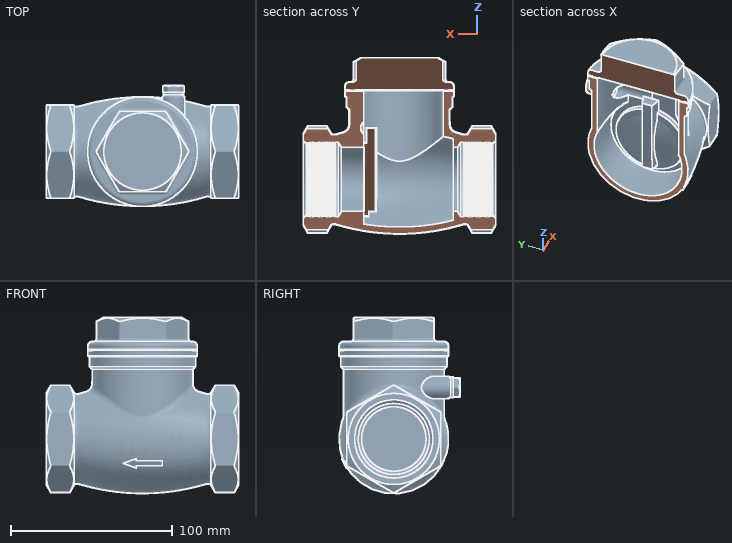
import cadquery as cq
import math


half_length = 59.75
end_hex_flats = 58.0
end_hex_length = 17.6
end_hex_edge_radius = 1.0
end_face_diameter = 56.5
hex_chamfer_angle = 30.0

barrel_diameter = 68.0
barrel_end_diameter = 56.0
barrel_half_length = 39.8
wall = 4.5

thread_entry_diameter = 48.5
thread_root_diameter = 46.5
thread_crest_diameter = 44.0
thread_pitch = 1.75
thread_count = 11
relief_length = 1.5
port_cone_length = 1.9
port_diameter = 40.0
outlet_port_length = 2.8
seat_x = 22.0

top_z = 75.45
cap_hex_flats = 50.0
cap_hex_height = 15.0
cap_hex_edge_radius = 2.0
cap_hex_root_radius = 2.0
cap_face_diameter = 48.0
flange_diameter = 68.0
cap_flange_thickness = 5.0
cap_flange_radius = 3.0
gasket_diameter = 62.0
gasket_thickness = 0.5
body_flange_thickness = 4.0
flange_chamfer = 0.6
collar_diameter = 66.0
collar_length = 7.8
collar_chamfer = 1.7
neck_diameter = collar_diameter - 2 * collar_chamfer
neck_bore_diameter = 54.5
neck_root_radius = 5.0

hinge_x = 19.2
hinge_z = 31.9
plug_end_y = 41.06
plug_hex_flats = 12.0
plug_hex_length = 4.3
plug_hex_edge_radius = 1.0
plug_face_diameter = 11.5
plug_shank_diameter = 9.5
plug_shank_inner_y = 24.0
washer_diameter = 13.0
washer_thickness = 1.5
boss_diameter = 14.0
boss_edge_radius = 2.0

flap_diameter = 46.0
flap_thickness = 3.0
dome_diameter = 36.5
dome_height = 3.0
rib_face_width = 6.5
rib_base_width = 10.5
rib_height = 5.0
rib_step = 0.5
rib_step_top_z = -11.0
rib_step_bottom_z = -12.8
rib_bottom_z = -20.0

arrow_z = -15.1
arrow_tip_x = -12.0
arrow_head_length = 8.1
arrow_length = 24.1
arrow_head_half_width = 2.9
arrow_shaft_half_width = 1.5
arrow_height = 0.5

cap_flange_top_z = top_z - cap_hex_height
cap_bottom_z = cap_flange_top_z - cap_flange_thickness
body_top_z = cap_bottom_z - gasket_thickness
collar_top_z = body_top_z - body_flange_thickness
collar_bottom_z = collar_top_z - collar_length
end_hex_inner_x = half_length - end_hex_length
plug_seat_y = plug_end_y - plug_hex_length
boss_end_y = plug_seat_y - washer_thickness


def cross_plane(x):
    """Plane across the pipe axis, with its own normal along +X and its local X axis along +Z."""
    return cq.Plane(origin=(x, 0, 0), xDir=(0, 0, 1), normal=(1, 0, 0))


def level_plane(z):
    return cq.Plane(origin=(0, 0, z), xDir=(1, 0, 0), normal=(0, 0, 1))


def hinge_plane(y):
    """Plane across the hinge axis, with its own normal along +Y and its local X axis along +X."""
    return cq.Plane(origin=(hinge_x, y, hinge_z), xDir=(1, 0, 0), normal=(0, 1, 0))


def disc(plane, diameter, length):
    return cq.Workplane(plane).circle(diameter / 2).extrude(length)


def ring(plane, outer_diameter, inner_diameter, length):
    return cq.Workplane(plane).circle(outer_diameter / 2).circle(inner_diameter / 2).extrude(length)


def hexagon(plane, flats, length, edge_radius):
    """Hexagonal bar with rounded edges and two corners on the plane's local X axis."""
    corners = flats / math.cos(math.radians(30))
    bar = cq.Workplane(plane).polygon(6, corners).extrude(length)
    return bar.edges(cq.selectors.ParallelDirSelector(plane.zDir)).fillet(edge_radius)


def chamfer_hexagon(bar, plane, length, flats, face_diameter):
    """Cut the corners at the far end of a hexagonal bar back to a round end face."""
    face_radius = face_diameter / 2
    outer_radius = flats
    drop = (outer_radius - face_radius) * math.tan(math.radians(hex_chamfer_angle))
    cutter = (
        cq.Workplane(cq.Plane(origin=plane.origin, xDir=plane.xDir, normal=-plane.yDir))
        .polyline([(face_radius, length), (outer_radius, length), (outer_radius, length - drop)])
        .close()
        .revolve(360, (0, 0), (0, 1))
    )
    return bar.cut(cutter)


def revolved_about_x(outline):
    """Solid from (x, radius) points turned about the pipe axis."""
    return cq.Workplane("XY").polyline(outline).close().revolve(360, (0, 0, 0), (1, 0, 0))


def barrel(growth):
    """Barrel about the pipe axis, with all its radii enlarged by `growth`."""
    end_radius = barrel_end_diameter / 2 + growth
    rim_radius = end_face_diameter / 2 + growth
    middle_radius = barrel_diameter / 2 + growth
    hollow_x = (barrel_half_length + end_hex_inner_x) / 2
    return (
        cq.Workplane("XY")
        .moveTo(-end_hex_inner_x, 0)
        .lineTo(-end_hex_inner_x, rim_radius)
        .threePointArc((-hollow_x, end_radius), (-barrel_half_length, end_radius))
        .threePointArc((0, middle_radius), (barrel_half_length, end_radius))
        .threePointArc((hollow_x, end_radius), (end_hex_inner_x, rim_radius))
        .lineTo(end_hex_inner_x, 0)
        .close()
        .revolve(360, (0, 0, 0), (1, 0, 0))
    )


def end_hexagon():
    """Hexagon at the -X end, chamfered at both of its ends."""
    inner = cross_plane(-end_hex_inner_x)
    outer = cross_plane(-half_length)
    towards_end = cq.Plane(origin=inner.origin, xDir=inner.xDir, normal=-inner.zDir)
    bar = hexagon(outer, end_hex_flats, end_hex_length, end_hex_edge_radius)
    for plane in (outer, towards_end):
        bar = chamfer_hexagon(bar, plane, end_hex_length, end_hex_flats, end_face_diameter)
    return bar


def flow_arrow():
    """Raised arrow pointing to the -X outlet, following the front of the barrel."""
    head_end_x = arrow_tip_x + arrow_head_length
    tail_x = arrow_tip_x + arrow_length
    outline = [
        (arrow_tip_x, arrow_z),
        (head_end_x, arrow_z + arrow_head_half_width),
        (head_end_x, arrow_z + arrow_shaft_half_width),
        (tail_x, arrow_z + arrow_shaft_half_width),
        (tail_x, arrow_z - arrow_shaft_half_width),
        (head_end_x, arrow_z - arrow_shaft_half_width),
        (head_end_x, arrow_z - arrow_head_half_width),
    ]
    prism = cq.Workplane("XZ").polyline(outline).close().extrude(barrel_diameter)
    return prism.intersect(barrel(arrow_height)).cut(barrel(-wall / 2))


def body_outside():
    neck = disc(level_plane(0), neck_diameter, body_top_z)
    shell = barrel(0).union(neck)
    root = cq.selectors.BoxSelector(
        (-neck_diameter, -neck_diameter, 1), (neck_diameter, neck_diameter, barrel_diameter / 2 + 1)
    )
    shell = shell.edges(root).edges("not %CIRCLE").edges("not %LINE").fillet(neck_root_radius)
    collar = disc(level_plane(collar_bottom_z), collar_diameter, collar_length)
    collar = collar.faces("<Z").chamfer(collar_chamfer)
    flange = disc(level_plane(collar_top_z), flange_diameter, body_flange_thickness)
    flange = flange.faces("<Z").chamfer(flange_chamfer)
    boss = disc(hinge_plane(0), boss_diameter, boss_end_y).faces(">Y").fillet(boss_edge_radius)
    hexes = end_hexagon()
    hexes = hexes.union(hexes.mirror("YZ"))
    return shell.union(collar).union(flange).union(boss).union(hexes).union(flow_arrow())


def port():
    """Threaded entry, relief and tapered step of the -X end, from the face to the port bore."""
    crest = thread_crest_diameter / 2
    root = thread_root_diameter / 2
    entry = thread_entry_diameter / 2
    port_radius = port_diameter / 2
    thread_start_x = -half_length + entry - root
    outline = [(-half_length, 0), (-half_length, entry), (thread_start_x, root)]
    for turn in range(thread_count):
        groove_x = thread_start_x + turn * thread_pitch
        outline.append((groove_x + thread_pitch / 2, crest))
        outline.append((groove_x + thread_pitch, root))
    relief_end_x = thread_start_x + thread_count * thread_pitch + relief_length
    cone_end_x = relief_end_x + port_cone_length
    port_end_x = cone_end_x + outlet_port_length
    outline += [
        (relief_end_x, root),
        (cone_end_x, port_radius),
        (port_end_x, port_radius),
        (port_end_x, 0),
    ]
    return revolved_about_x(outline), port_end_x


def body_inside():
    outlet, chamber_start_x = port()
    inlet = outlet.mirror("YZ")
    chamber_span = seat_x - chamber_start_x
    chamber = barrel(-wall).intersect(disc(cross_plane(chamber_start_x), barrel_diameter, chamber_span))
    seat_bore = disc(cross_plane(seat_x), port_diameter, end_hex_inner_x - seat_x)
    neck_bore = disc(level_plane(0), neck_bore_diameter, top_z)
    neck_bore = neck_bore.intersect(
        cq.Workplane("XY").box(chamber_span, top_z, 2 * top_z).translate((seat_x - chamber_span / 2, 0, 0))
    )
    plug_hole = disc(hinge_plane(0), plug_shank_diameter, plug_end_y)
    return outlet.union(inlet).union(chamber).union(seat_bore).union(neck_bore).union(plug_hole)


def make_body():
    return body_outside().cut(body_inside())


def make_gasket():
    return ring(level_plane(body_top_z), gasket_diameter, neck_bore_diameter, gasket_thickness)


def make_cap():
    base = level_plane(cap_flange_top_z)
    head = hexagon(base, cap_hex_flats, cap_hex_height, cap_hex_edge_radius)
    flange = disc(level_plane(cap_bottom_z), flange_diameter, cap_flange_thickness)
    flange = flange.faces(">Z").fillet(cap_flange_radius)
    cap = flange.union(head)
    touch = cap_hex_flats / math.sqrt(3) + 1
    root = cq.selectors.BoxSelector(
        (-touch, -touch, cap_flange_top_z - 0.1), (touch, touch, cap_flange_top_z + 0.1)
    )
    cap = cap.edges(root).fillet(cap_hex_root_radius)
    return chamfer_hexagon(cap, base, cap_hex_height, cap_hex_flats, cap_face_diameter)


def make_washer():
    return ring(hinge_plane(boss_end_y), washer_diameter, plug_shank_diameter, washer_thickness)


def make_plug():
    base = hinge_plane(plug_seat_y)
    head = hexagon(base, plug_hex_flats, plug_hex_length, plug_hex_edge_radius)
    head = chamfer_hexagon(head, base, plug_hex_length, plug_hex_flats, plug_face_diameter)
    shank = disc(hinge_plane(plug_shank_inner_y), plug_shank_diameter, plug_seat_y - plug_shank_inner_y)
    return head.union(shank)


def rib_bar(height, bottom_z, top_z):
    """Upright bar on the flap whose sides slope in towards its outer face."""
    face_x = seat_x - flap_thickness - height
    section = [
        (seat_x - flap_thickness / 2, -rib_base_width / 2),
        (face_x, -rib_face_width / 2),
        (face_x, rib_face_width / 2),
        (seat_x - flap_thickness / 2, rib_base_width / 2),
    ]
    return cq.Workplane(level_plane(bottom_z)).polyline(section).close().extrude(top_z - bottom_z)


def make_flap():
    """Disc resting on the seat, with a domed outlet side and a rib up to the hinge."""
    dome_radius = dome_diameter / 2
    face_x = seat_x - flap_thickness
    plate = disc(cross_plane(face_x), flap_diameter, flap_thickness)
    sphere_radius = (dome_radius**2 + dome_height**2) / (2 * dome_height)
    dome = cq.Workplane("XY").sphere(sphere_radius).translate((face_x - dome_height + sphere_radius, 0, 0))
    dome = dome.intersect(disc(cross_plane(face_x - dome_height), flap_diameter, dome_height))
    rib = rib_bar(rib_height, rib_bottom_z, hinge_z)
    step_x = face_x - rib_height
    step = [
        (step_x, rib_step_top_z),
        (step_x + rib_step, rib_step_bottom_z),
        (step_x + rib_step, rib_bottom_z),
        (step_x, rib_bottom_z),
    ]
    step_cut = cq.Workplane("XZ").polyline(step).close().extrude(rib_base_width, both=True)
    return plate.union(dome).union(rib.cut(step_cut))


body = make_body()
gasket = make_gasket()
cap = make_cap()
washer = make_washer()
plug = make_plug()
flap = make_flap()

result = cq.Compound.makeCompound(
    [body.val(), gasket.val(), cap.val(), washer.val(), plug.val(), flap.val()]
)